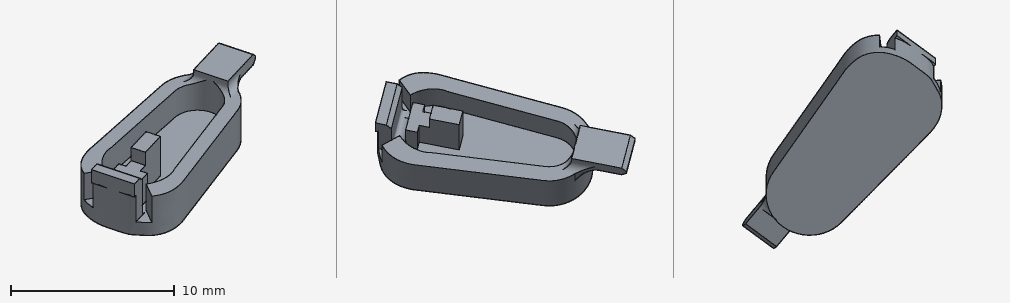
import cadquery as cq
import math

LENGTH = 15.64
BODY_HEIGHT = 3.0
TOTAL_HEIGHT = 4.0
WALL = 1.0
FLOOR = 1.0
OVERCUT = 0.31

BACK_RADIUS = 2.66
BACK_CENTRE_Y = 10.54
TAPER = math.radians(4.65)
TAPER_END_Y = 3.72
WIDEST = (3.3, 2.69)
CORNER_POINTS = [(3.16, 1.72), (2.86, 1.13), (2.28, 0.56), (1.5, 0.19)]
FRONT_FLAT = 0.9

CAVITY_BULGE = (2.27, 3.13)
CAVITY_BEND = (2.03, 2.27)
CAVITY_CORNER = (1.47, 1.52)

LATCH_WIDTH = 3.0
LATCH_DEPTH = 1.0
LATCH_CHAMFER = 0.31
LATCH_ROOT_RADIUS = 0.27

STOP_FRONT_Y = 1.78
CROSS_DEPTH = 0.74
CROSS_WIDTH = 2.0
STEM_WIDTH = 1.0
POST_FRONT_Y = 3.16
POST_BACK_Y = 5.02
STOP_ROOT_RADIUS = 0.5

TONGUE_WIDTH = 2.41
TONGUE_THICKNESS = 0.8
TONGUE_CHAMFER = 0.3
TONGUE_FRONT_Y = BACK_CENTRE_Y + BACK_RADIUS - WALL
FLARE_RADIUS = 0.52
WEB_BACK_Y = 13.97
WEB_RADIUS = 2.13
WEB_ANGLE = math.radians(42.0)
UNDERSIDE_RADIUS = 0.89


def mirrored(points):
    """Mirror plan points across the YZ plane, in reverse order."""
    return [(-x, y) for x, y in reversed(points)]


def box(width, y_front, y_back, z_bottom, z_top):
    """Box centred on X between the given Y and Z limits."""
    return (
        cq.Workplane("XY", origin=(0, y_front, z_bottom))
        .box(width, y_back - y_front, z_top - z_bottom, centered=(True, False, False))
    )


def taper_points(radius):
    """Back and front ends of the right tapered side that is tangent to the back arc."""
    back = (radius * math.cos(TAPER), BACK_CENTRE_Y + radius * math.sin(TAPER))
    front = (back[0] + (back[1] - TAPER_END_Y) * math.tan(TAPER), TAPER_END_Y)
    return back, front


def tapered_sides(radius):
    """Wire from the left front end, round the back arc, to the right front end."""
    back, front = taper_points(radius)
    return (
        cq.Workplane("XY")
        .moveTo(-front[0], front[1])
        .lineTo(-back[0], back[1])
        .threePointArc((0, BACK_CENTRE_Y + radius), back)
        .lineTo(*front)
    )


def body_block():
    _, front = taper_points(BACK_RADIUS)
    half_flat = FRONT_FLAT / 2
    along_x = (-1, 0)
    right = [WIDEST, *CORNER_POINTS, (half_flat, 0)]
    left = mirrored([front, WIDEST, *CORNER_POINTS])
    leaving = (math.sin(TAPER), -math.cos(TAPER))
    returning = (math.sin(TAPER), math.cos(TAPER))
    return (
        tapered_sides(BACK_RADIUS)
        .spline(right, tangents=[leaving, along_x], includeCurrent=True)
        .lineTo(-half_flat, 0)
        .spline(left, tangents=[along_x, returning], includeCurrent=True)
        .close()
        .extrude(BODY_HEIGHT)
    )


def cavity():
    """Cavity that runs out through the two slots beside the latch."""
    radius = BACK_RADIUS - WALL
    _, front = taper_points(radius)
    curve = [CAVITY_BULGE, CAVITY_BEND, CAVITY_CORNER]
    slot_run = CAVITY_CORNER[1] + OVERCUT
    slot = [
        (CAVITY_CORNER[0] + slot_run, -OVERCUT),
        (LATCH_WIDTH / 2, -OVERCUT),
        (LATCH_WIDTH / 2, LATCH_DEPTH),
    ]
    wire = tapered_sides(radius).spline(curve, includeCurrent=True)
    for point in slot + mirrored([CAVITY_CORNER] + slot):
        wire = wire.lineTo(*point)
    left_curve = mirrored([front, CAVITY_BULGE, CAVITY_BEND])
    return (
        wire.spline(left_curve, includeCurrent=True)
        .close()
        .extrude(TOTAL_HEIGHT)
        .translate((0, 0, FLOOR))
    )


def root_fillet(width, wall_y, radius, direction):
    """Concave fillet between the floor and a wall; direction is the Y side it faces."""
    toe_y = wall_y + direction * radius
    strip = box(width, min(wall_y, toe_y), max(wall_y, toe_y), FLOOR, FLOOR + radius)
    centre = (0, toe_y, FLOOR + radius)
    return strip.cut(cq.Workplane("YZ", origin=centre).circle(radius).extrude(width / 2, both=True))


def latch():
    head = (
        box(LATCH_WIDTH, 0, LATCH_DEPTH, BODY_HEIGHT, TOTAL_HEIGHT)
        .edges(">Y and >Z").chamfer(LATCH_CHAMFER)
    )
    return head.union(root_fillet(LATCH_WIDTH, LATCH_DEPTH, LATCH_ROOT_RADIUS, 1))


def stop():
    cross_back = STOP_FRONT_Y + CROSS_DEPTH
    return (
        box(CROSS_WIDTH, STOP_FRONT_Y, cross_back, FLOOR, BODY_HEIGHT)
        .union(box(STEM_WIDTH, cross_back, POST_BACK_Y, FLOOR, BODY_HEIGHT))
        .union(box(STEM_WIDTH, POST_FRONT_Y, POST_BACK_Y, FLOOR, TOTAL_HEIGHT))
        .union(root_fillet(CROSS_WIDTH, STOP_FRONT_Y, STOP_ROOT_RADIUS, -1))
    )


def tongue():
    return (
        box(TONGUE_WIDTH, TONGUE_FRONT_Y, LENGTH, BODY_HEIGHT, BODY_HEIGHT + TONGUE_THICKNESS)
        .edges(">Y and |X").chamfer(TONGUE_CHAMFER)
    )


def web_plan(height):
    """Gusset plan: concave sides tangent to the tongue and to the body's back arc."""
    def arc_point(angle):
        x = TONGUE_WIDTH / 2 + WEB_RADIUS * (1 - math.cos(angle))
        return (x, WEB_BACK_Y - WEB_RADIUS * math.sin(angle))

    start, middle, end = [arc_point(WEB_ANGLE * share) for share in (0, 0.5, 1)]
    flare_front = TONGUE_FRONT_Y - FLARE_RADIUS
    return (
        cq.Workplane("XY")
        .moveTo(*start)
        .threePointArc(middle, end)
        .lineTo(end[0], flare_front)
        .lineTo(-end[0], flare_front)
        .lineTo(-end[0], end[1])
        .threePointArc((-middle[0], middle[1]), (-start[0], start[1]))
        .close()
        .extrude(height)
    )


def underside_fillet():
    """Concave fillet that follows the back arc up to the underside of the tongue."""
    base = BODY_HEIGHT - UNDERSIDE_RADIUS
    rim = BACK_RADIUS + UNDERSIDE_RADIUS
    bend = UNDERSIDE_RADIUS * (1 - math.sqrt(0.5))
    ring = (
        cq.Workplane("XZ")
        .moveTo(BACK_RADIUS - WALL, base)
        .lineTo(BACK_RADIUS, base)
        .threePointArc((BACK_RADIUS + bend, BODY_HEIGHT - bend), (rim, BODY_HEIGHT))
        .lineTo(BACK_RADIUS - WALL, BODY_HEIGHT)
        .close()
        .revolve(360, (0, 0), (0, 1))
        .translate((0, BACK_CENTRE_Y, 0))
    )
    return ring.intersect(web_plan(BODY_HEIGHT))


def flare():
    """Concave skirt that spreads from the tongue's sides and front onto the body top."""
    half = TONGUE_WIDTH / 2
    foot = half + FLARE_RADIUS
    flare_top = BODY_HEIGHT + FLARE_RADIUS
    bend = FLARE_RADIUS * (1 - math.sqrt(0.5))
    across = (
        cq.Workplane("XZ")
        .moveTo(-foot, BODY_HEIGHT)
        .lineTo(foot, BODY_HEIGHT)
        .threePointArc((half + bend, BODY_HEIGHT + bend), (half, flare_top))
        .lineTo(-half, flare_top)
        .threePointArc((-half - bend, BODY_HEIGHT + bend), (-foot, BODY_HEIGHT))
        .close()
        .extrude(-LENGTH)
    )
    front = TONGUE_FRONT_Y
    along = (
        cq.Workplane("YZ")
        .moveTo(front - FLARE_RADIUS, BODY_HEIGHT)
        .lineTo(WEB_BACK_Y, BODY_HEIGHT)
        .lineTo(WEB_BACK_Y, flare_top)
        .lineTo(front, flare_top)
        .threePointArc((front - bend, BODY_HEIGHT + bend), (front - FLARE_RADIUS, BODY_HEIGHT))
        .close()
        .extrude(foot, both=True)
    )
    return across.intersect(along).intersect(web_plan(TOTAL_HEIGHT))


shell = body_block().union(underside_fillet()).union(flare()).union(tongue()).cut(cavity())
part = shell.union(latch()).union(stop())
result = part.translate((0, -LENGTH / 2, 0))